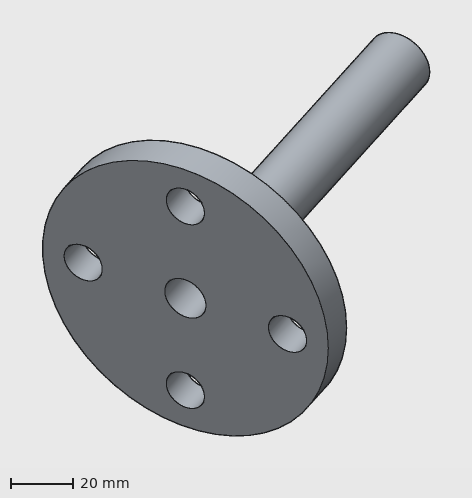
import cadquery as cq

total_length = 140.0
flange_diameter = 105.0
flange_thickness = 12.0
pipe_diameter = 22.1
bore_diameter = 15.1
bolt_hole_diameter = 14.0
bolt_circle_diameter = 75.0
bolt_hole_count = 4


def cylinder_along_y(diameter, length):
    """Cylinder on the Y axis, from the flange face at Y = 0 towards +Y."""
    return cq.Workplane("XZ").circle(diameter / 2).extrude(-length)


def bolt_holes():
    """Ring of cutters, with two on the X axis and two on the Z axis."""
    return (
        cq.Workplane("XZ")
        .polarArray(bolt_circle_diameter / 2, 0, 360, bolt_hole_count)
        .circle(bolt_hole_diameter / 2)
        .extrude(-flange_thickness)
    )


flange = cylinder_along_y(flange_diameter, flange_thickness)
pipe = cylinder_along_y(pipe_diameter, total_length)
bore = cylinder_along_y(bore_diameter, total_length)

result = flange.union(pipe).cut(bore).cut(bolt_holes())